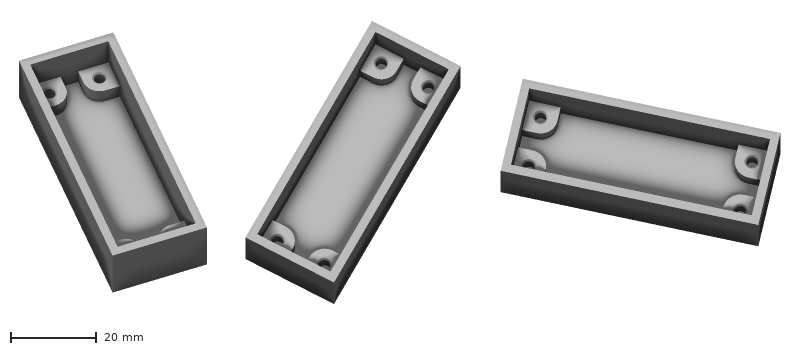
import cadquery as cq

length = 61.5
width = 23.5
height = 14.0
wall = 2.0
floor = 2.0

boss_height = 4.0
boss_radius = 4.0
hole_inset = 3.5
boss_side = hole_inset + boss_radius

hole_diameter = 2.7
mouth_diameter = 3.5
hole_depth = boss_height
mouth_chamfer = (mouth_diameter - hole_diameter) / 2

inner_length = length - 2 * wall
inner_width = width - 2 * wall
boss_top = floor + boss_height


def make_tray():
    outer = cq.Workplane("XY").box(length, width, height, centered=(True, True, False))
    cavity = (
        cq.Workplane("XY")
        .workplane(offset=floor)
        .box(inner_length, inner_width, height - floor, centered=(True, True, False))
    )
    return outer.cut(cavity)


def make_boss(x_side, y_side):
    """Boss against the corner on the given sides, rounded towards the middle of the tray."""
    center_x = x_side * (inner_length - boss_side) / 2
    center_y = y_side * (inner_width - boss_side) / 2
    inward_edge = ("<X" if x_side > 0 else ">X") + " and " + ("<Y" if y_side > 0 else ">Y")
    return (
        cq.Workplane("XY", origin=(center_x, center_y, floor))
        .box(boss_side, boss_side, boss_height, centered=(True, True, False))
        .edges("|Z")
        .edges(inward_edge)
        .fillet(boss_radius)
    )


def make_hole(x_side, y_side):
    """Cutter for the screw hole and its conical mouth."""
    center_x = x_side * (inner_length / 2 - hole_inset)
    center_y = y_side * (inner_width / 2 - hole_inset)
    mouth = (
        cq.Workplane("XY", origin=(center_x, center_y, boss_top))
        .circle(mouth_diameter / 2)
        .workplane(offset=-mouth_chamfer)
        .circle(hole_diameter / 2)
        .loft(ruled=True)
    )
    bore = (
        cq.Workplane("XY", origin=(center_x, center_y, boss_top))
        .circle(hole_diameter / 2)
        .extrude(-hole_depth)
    )
    return bore.union(mouth)


result = make_tray()
for x_side in (-1, 1):
    for y_side in (-1, 1):
        result = result.union(make_boss(x_side, y_side))
        result = result.cut(make_hole(x_side, y_side))